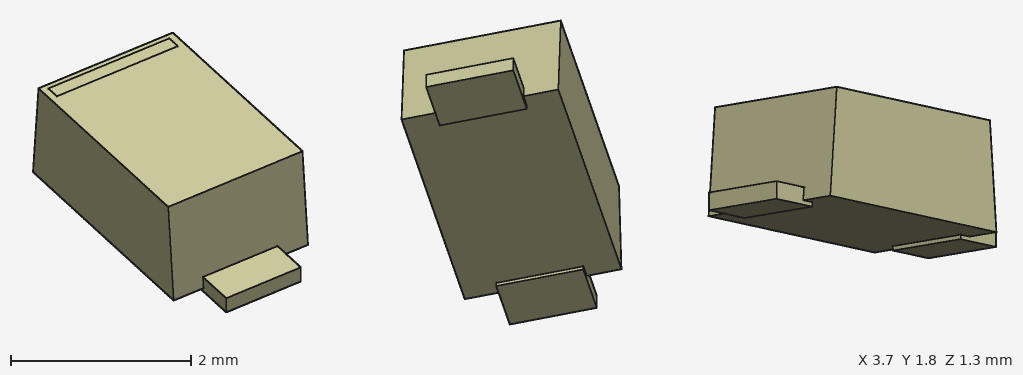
import cadquery as cq
import math

body_length = 2.8
body_width = 1.8
body_height = 1.25
standoff = 0.05
end_draft_angle = 5.0
body_top = standoff + body_height
end_inset = body_height * math.tan(math.radians(end_draft_angle))
body_top_length = body_length - 2 * end_inset

overall_length = 3.7
lead_length = 0.6
lead_width = 1.0
lead_thickness = 0.2
lead_center_x = (overall_length - lead_length) / 2

band_length = 0.17
band_side_gap = 0.09
band_width = body_width - 2 * band_side_gap
band_depth = 0.02
band_end_gap = 0.065
band_center_x = -body_top_length / 2 + band_end_gap + band_length / 2


def make_lead(side):
    """Flat lead resting on Z = 0; side is -1 for the -X end, +1 for the +X end."""
    return (
        cq.Workplane("XY")
        .box(lead_length, lead_width, lead_thickness, centered=(True, True, False))
        .translate((side * lead_center_x, 0, 0))
    )


def make_polarity_band():
    """Thin rectangular band whose upper face is level with the body top."""
    return (
        cq.Workplane("XY")
        .box(band_length, band_width, band_depth, centered=(True, True, False))
        .translate((band_center_x, 0, body_top - band_depth))
    )


def make_body(inserts):
    """Trapezoidal body with a matching pocket for each inserted part."""
    body = (
        cq.Workplane("XZ")
        .polyline([
            (-body_length / 2, standoff),
            (body_length / 2, standoff),
            (body_top_length / 2, body_top),
            (-body_top_length / 2, body_top),
        ])
        .close()
        .extrude(body_width / 2, both=True)
    )
    for insert in inserts:
        body = body.cut(insert)
    return body


leads = [make_lead(side) for side in (-1, 1)]
polarity_band = make_polarity_band()
body = make_body([*leads, polarity_band])

result = cq.Compound.makeCompound([
    body.val(),
    polarity_band.val(),
    *[lead.val() for lead in leads],
])